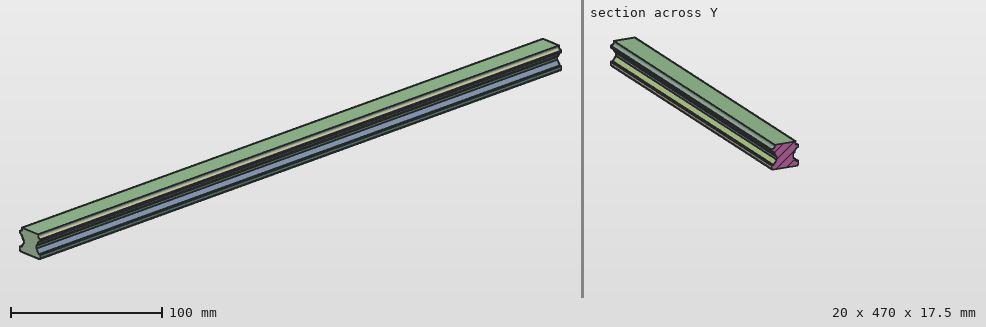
import cadquery as cq

rail_width = 20.0
rail_length = 470.0
rail_height = 17.5

top_width = 15.6
shoulder_depth = 1.4
lip_top_depth = 3.0
lip_height = 1.3
lip_chamfer_width = 0.9
lip_chamfer_height = 0.4
groove_sag = 0.3

web_width = 12.4
web_top_z = 8.8
web_bottom_z = 6.8
relief_width = 1.0
relief_height = 1.2

foot_edge_z = 3.3
foot_ledge_width = 1.4
foot_ledge_rise = 0.2
foot_chamfer = 0.9

half_width = rail_width / 2
half_top = top_width / 2
half_web = web_width / 2
shoulder_z = rail_height - shoulder_depth
lip_top_z = rail_height - lip_top_depth
lip_bottom_z = lip_top_z - lip_height
groove_edge_x = half_width - lip_chamfer_width


def half_profile():
    """Closed outline of the +X half of the cross-section, in X and Z."""
    return (
        cq.Workplane("XZ", origin=(0, rail_length / 2, 0))
        .moveTo(0, 0)
        .lineTo(half_width - foot_chamfer, 0)
        .lineTo(half_width, foot_chamfer)
        .lineTo(half_width, foot_edge_z)
        .lineTo(half_width - foot_ledge_width, foot_edge_z + foot_ledge_rise)
        .lineTo(half_web, web_bottom_z)
        .lineTo(half_web, web_top_z)
        .lineTo(half_web + relief_width, web_top_z + relief_height)
        .sagittaArc((groove_edge_x, lip_bottom_z - lip_chamfer_height), groove_sag)
        .lineTo(half_width, lip_bottom_z)
        .lineTo(half_width, lip_top_z)
        .lineTo(groove_edge_x, lip_top_z + lip_chamfer_height)
        .sagittaArc((half_top, shoulder_z), groove_sag)
        .lineTo(half_top, rail_height)
        .lineTo(0, rail_height)
        .close()
    )


def rail():
    """Rail of constant section, mirrored about its middle plane."""
    half_rail = half_profile().extrude(rail_length)
    return half_rail.union(half_rail.mirror("YZ")).clean()


result = rail()